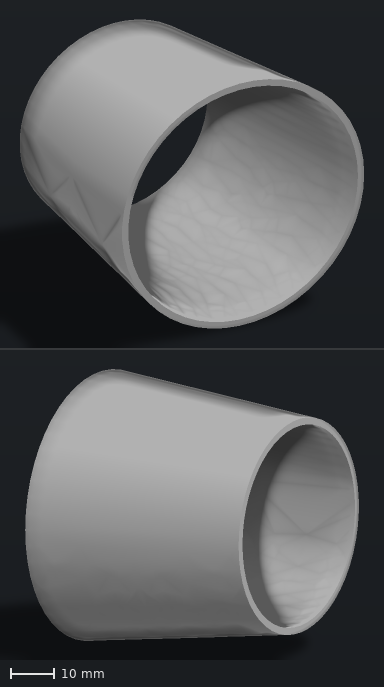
import cadquery as cq

length = 50.8
large_diameter = 63.45
small_diameter = 50.8
wall = 1.65

small_end_offset = -(large_diameter - small_diameter) / 2


def eccentric_cone(inset):
    """Solid tapering from the small end to the large end, with both radii reduced by inset."""
    return (
        cq.Workplane("YZ")
        .center(small_end_offset, 0)
        .circle(small_diameter / 2 - inset)
        .workplane(offset=length)
        .center(-small_end_offset, 0)
        .circle(large_diameter / 2 - inset)
        .loft(ruled=True, combine=True)
    )


outer_body = eccentric_cone(0)
bore = eccentric_cone(wall)

result = outer_body.cut(bore)